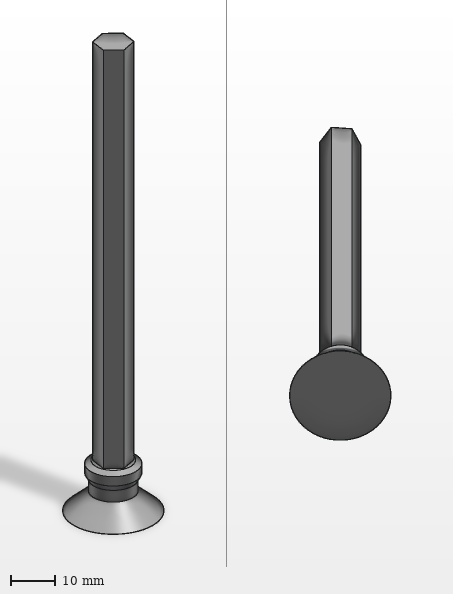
import cadquery as cq

total_height = 120.0

foot_diameter = 22.9
foot_height = 5.2
neck_diameter = 11.3
neck_top = 8.2

collar_diameter = 13.0
collar_band_bottom = 9.7
collar_band_top = 12.1
collar_top = 13.0
collar_top_diameter = 10.1

hex_corner_diameter = 9.4
hex_turn = 2.0


def turned_base():
    """Foot, neck and collar as one revolved body."""
    profile = [
        (0, 0),
        (foot_diameter / 2, 0),
        (neck_diameter / 2, foot_height),
        (neck_diameter / 2, neck_top),
        (collar_diameter / 2, collar_band_bottom),
        (collar_diameter / 2, collar_band_top),
        (collar_top_diameter / 2, collar_top),
        (0, collar_top),
    ]
    return cq.Workplane("XZ").polyline(profile).close().revolve(360, (0, 0), (0, 1))


def hex_shaft():
    """Hexagonal bar from the collar to the top, with corners near the X axis."""
    bar = (
        cq.Workplane("XY")
        .workplane(offset=collar_top)
        .polygon(6, hex_corner_diameter)
        .extrude(total_height - collar_top)
    )
    return bar.rotate((0, 0, 0), (0, 0, 1), hex_turn)


result = turned_base().union(hex_shaft())